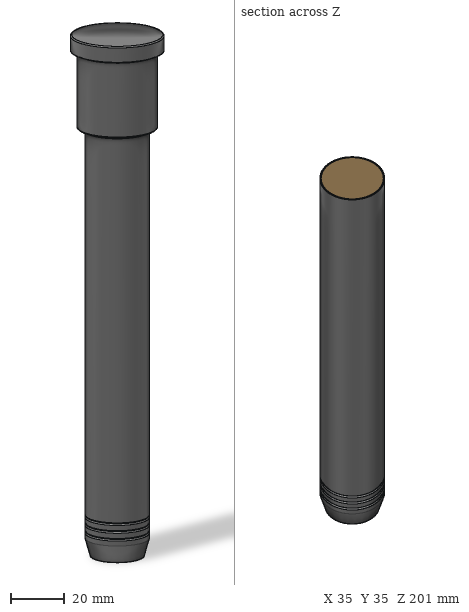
import cadquery as cq

length = 201.0
head_radius = 17.5
head_thickness = 6.0
edge_chamfer = 0.5

collar_radius = 15.0
collar_end_depth = 36.0

shaft_radius = 12.0
neck_length = 1.0
neck_depth = 0.5

groove_width = 1.0
groove_depth = groove_width / 2
groove_count = 3
groove_pitch = 3.0
lowest_groove_height = 9.5

taper_height = 7.0
tip_radius = 10.0
tip_fillet = 0.5

head_underside = length - head_thickness
collar_bottom = length - collar_end_depth
neck_bottom = collar_bottom - neck_length


def cylinder(radius, bottom, top):
    """Solid cylinder on the Z axis between two levels."""
    return cq.Workplane("XY").workplane(offset=bottom).circle(radius).extrude(top - bottom)


def v_groove(surface_radius, center_height):
    """Ring with a V-shaped section, to be cut from a cylinder of the given radius."""
    half_width = groove_width / 2
    ring_radius = surface_radius + groove_depth
    section = (
        cq.Workplane("XZ")
        .moveTo(surface_radius - groove_depth, center_height)
        .lineTo(surface_radius, center_height + half_width)
        .lineTo(ring_radius, center_height + half_width)
        .lineTo(ring_radius, center_height - half_width)
        .lineTo(surface_radius, center_height - half_width)
        .close()
    )
    return section.revolve(360, (0, 0, 0), (0, 1, 0))


def make_head():
    head = cylinder(head_radius, head_underside, length)
    return head.faces(">Z").edges().chamfer(edge_chamfer)


def make_collar():
    collar = cylinder(collar_radius, collar_bottom, head_underside)
    collar = collar.faces("<Z").edges().chamfer(edge_chamfer)
    return collar.cut(v_groove(collar_radius, head_underside - groove_width / 2))


def make_shaft():
    shaft = cylinder(shaft_radius, taper_height, neck_bottom)
    for index in range(groove_count):
        shaft = shaft.cut(v_groove(shaft_radius, lowest_groove_height + index * groove_pitch))
    neck = cylinder(shaft_radius - neck_depth, neck_bottom, collar_bottom)
    return shaft.union(neck)


def make_lead_in():
    lead_in = (
        cq.Workplane("XY")
        .circle(tip_radius)
        .workplane(offset=taper_height)
        .circle(shaft_radius)
        .loft(ruled=True)
    )
    return lead_in.faces("<Z").edges().fillet(tip_fillet)


result = make_head().union(make_collar()).union(make_shaft()).union(make_lead_in())